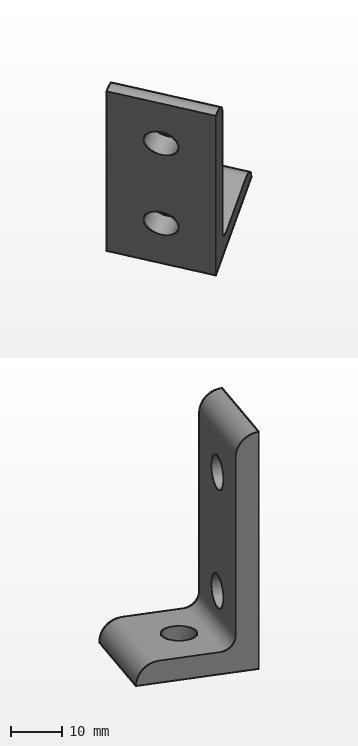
import cadquery as cq
import math

width = 22.25
foot_length = 25.4
wall_height = 50.8

thickness = 4.8
toe_radius = thickness
root_radius = 3.2

hole_diameter = 7.1
hole_edge_distance = 12.7
wall_hole_heights = (hole_edge_distance, wall_height - hole_edge_distance)
foot_hole_y = foot_length - hole_edge_distance

arc_middle = math.sqrt(0.5)


def angle_bar():
    """L section in the YZ plane, extruded along X and centred on X = 0."""
    foot_toe_y = foot_length - toe_radius
    wall_toe_z = wall_height - toe_radius
    root_centre = thickness + root_radius
    root_middle = root_centre - root_radius * arc_middle
    toe_offset = toe_radius * arc_middle
    return (
        cq.Workplane("YZ")
        .moveTo(0, 0)
        .lineTo(foot_length, 0)
        .threePointArc((foot_toe_y + toe_offset, toe_offset), (foot_toe_y, thickness))
        .lineTo(root_centre, thickness)
        .threePointArc((root_middle, root_middle), (thickness, root_centre))
        .lineTo(thickness, wall_toe_z)
        .threePointArc((toe_offset, wall_toe_z + toe_offset), (0, wall_height))
        .close()
        .extrude(width / 2, both=True)
    )


def wall_hole(height):
    """Cutter along Y through the upright leg."""
    return (
        cq.Workplane("XZ")
        .center(0, height)
        .circle(hole_diameter / 2)
        .extrude(-thickness)
    )


def foot_hole():
    """Cutter along Z through the horizontal leg."""
    return (
        cq.Workplane("XY")
        .center(0, foot_hole_y)
        .circle(hole_diameter / 2)
        .extrude(thickness)
    )


result = angle_bar().cut(foot_hole())
for hole_height in wall_hole_heights:
    result = result.cut(wall_hole(hole_height))